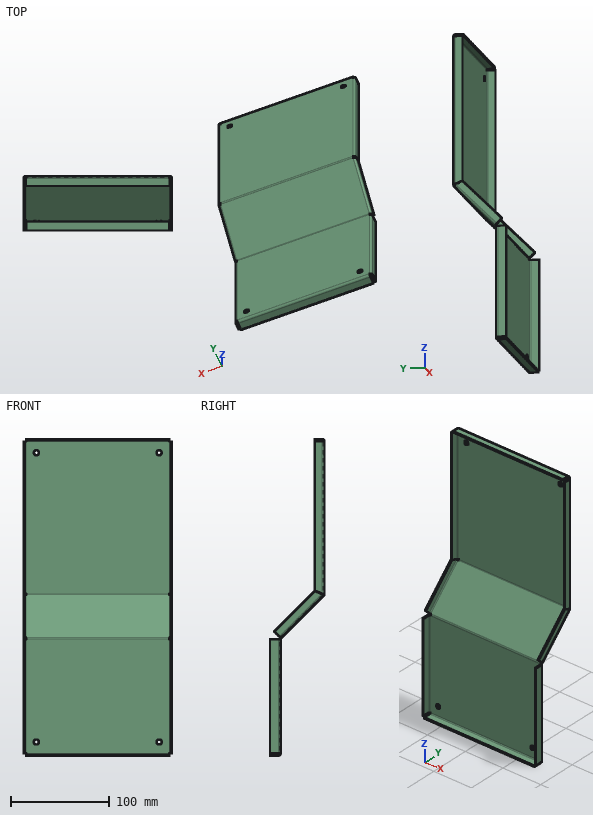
import cadquery as cq
import math

width = 151.03
height = 322.53
depth = 55.58

thickness = 1.5
inner_radius = 1.0
outer_radius = inner_radius + thickness
flange_height = 10.0
lower_flange_height = 11.0

step_angle = math.radians(45)
step_depth = depth - lower_flange_height
step_height = step_depth / math.tan(step_angle)
step_top = 163.8
mitre_gap = 0.2

hole_diameter = 5.0
hole_spacing = 125.0
hole_end_margin = 14.0

flat_half_width = width / 2 - outer_radius

half_turn = math.tan(step_angle / 2)
upper_setback = outer_radius * half_turn + mitre_gap / 2
lower_setback = inner_radius * half_turn
mitre_length = (flange_height - outer_radius) * half_turn

top_corner = (0, height)
upper_bend = (0, step_top)
lower_bend = (-step_depth, step_top - step_height)
bottom_corner = (-step_depth, 0)


def round_corners(body, corners, radius):
    """Fillet the edges along X that pass through the given (Y, Z) corners."""
    reach = thickness / 4
    for y, z in corners:
        corner_edge = cq.selectors.BoxSelector(
            (-width, y - reach, z - reach), (width, y + reach, z + reach)
        )
        body = body.edges("|X").edges(corner_edge).fillet(radius)
    return body


def make_folded_sheet():
    """Folded sheet over the flat width, including the top and bottom flanges."""
    front_shift = thickness * half_turn
    front_top = (-thickness, height - thickness)
    front_upper_bend = (-thickness, step_top + front_shift)
    front_lower_bend = (-step_depth - thickness, step_top - step_height + front_shift)
    front_bottom = (-step_depth - thickness, thickness)
    outline = [
        (-flange_height, height),
        top_corner,
        upper_bend,
        lower_bend,
        bottom_corner,
        (-depth, 0),
        (-depth, thickness),
        front_bottom,
        front_lower_bend,
        front_upper_bend,
        front_top,
        (-flange_height, height - thickness),
    ]
    sheet = cq.Workplane("YZ").polyline(outline).close().extrude(flat_half_width, both=True)
    bend_outsides = [top_corner, upper_bend, bottom_corner, front_lower_bend]
    bend_insides = [front_top, front_upper_bend, front_bottom, lower_bend]
    sheet = round_corners(sheet, bend_outsides, outer_radius)
    return round_corners(sheet, bend_insides, inner_radius)


def make_side_flanges(start, end, wall_height, start_setback, end_setback, start_mitre=0, end_mitre=0):
    """Left and right flanges of the panel whose rear surface runs from start to end.

    Setbacks shorten the whole flange at either end. Mitre lengths slope the
    wall further back between the flange bend and the flange rim.
    """
    run_y = end[0] - start[0]
    run_z = end[1] - start[1]
    run = math.hypot(run_y, run_z)
    direction = (0, run_y / run, run_z / run)
    section_plane = cq.Plane(origin=(0, *start), xDir=(1, 0, 0), normal=direction)
    wall_outside = width / 2
    wall_inside = wall_outside - thickness
    right_flange = (
        cq.Workplane(section_plane)
        .moveTo(flat_half_width, 0)
        .radiusArc((wall_outside, outer_radius), -outer_radius)
        .lineTo(wall_outside, wall_height)
        .lineTo(wall_inside, wall_height)
        .lineTo(wall_inside, outer_radius)
        .radiusArc((flat_half_width, thickness), inner_radius)
        .close()
        .extrude(run)
    )
    side_plane = cq.Plane(origin=(0, *start), xDir=direction, normal=(-1, 0, 0))
    first = start_setback
    last = run - end_setback
    side_outline = (
        cq.Workplane(side_plane)
        .polyline(
            [
                (first, 0),
                (last, 0),
                (last, outer_radius),
                (last - end_mitre, wall_height),
                (first + start_mitre, wall_height),
                (first, outer_radius),
            ]
        )
        .close()
        .extrude(width, both=True)
    )
    right_flange = right_flange.intersect(side_outline)
    return right_flange.union(right_flange.mirror("YZ"))


def make_mounting_holes():
    """Cutters for the four holes near the panel corners."""
    centres = [
        (side * hole_spacing / 2, z)
        for side in (-1, 1)
        for z in (hole_end_margin, height - hole_end_margin)
    ]
    return cq.Workplane("XZ").pushPoints(centres).circle(hole_diameter / 2).extrude(depth)


upper_flanges = make_side_flanges(
    top_corner, upper_bend, flange_height, outer_radius, upper_setback, end_mitre=mitre_length
)
sloping_flanges = make_side_flanges(
    upper_bend, lower_bend, flange_height, upper_setback, lower_setback, start_mitre=mitre_length
)
lower_flanges = make_side_flanges(
    lower_bend, bottom_corner, lower_flange_height, lower_setback, outer_radius
)

result = make_folded_sheet()
for flanges in (upper_flanges, sloping_flanges, lower_flanges):
    result = result.union(flanges)
result = result.cut(make_mounting_holes())